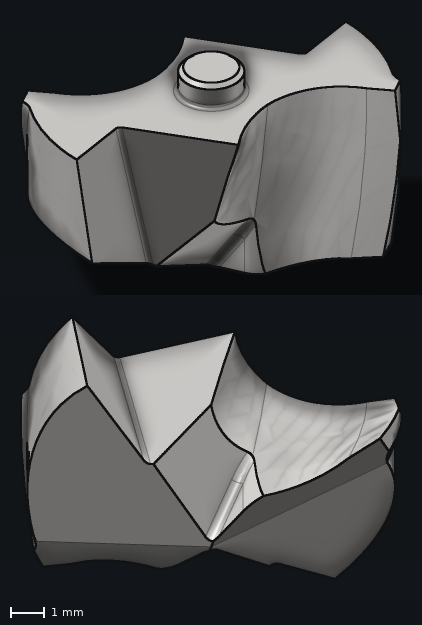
import math
import cadquery as cq


tip_depth = 6.3
margin_radius = 5.755
helix_rate = 5.77
blank_height = tip_depth + 0.2
blank_twist = helix_rate * blank_height
block_size = 40.0

pin_radius = 1.0
pin_height = 0.85
pin_chamfer = 0.15
pin_base_fillet = 0.14
pin_root_depth = 0.5

margin_end_angle = 20.9
relief_start_angle = 24.6
relief_groove_sag = 0.04
relief_end_angle = 100.0
relief_start_radius = 5.56
relief_end_radius = 5.495

lip_outer = (5.59, 1.46)
lip_bend = (4.50, 1.33)
flute_floor = (2.765, 0.76)
flute_seam = (1.85, -0.30)
core_waist = (1.51, -1.65)
core_corner = (1.75, -3.30)

core_half_width = 2.64
core_slope = 0.017
heel_corner_x = -2.2
heel_slope_y = 0.363
heel_slope_z = 0.189
heel_fillet = 0.165

lip_slope = 0.353
primary_relief_slope = 0.07
secondary_relief_slope = 0.396

gash_floor_offset = -0.07
gash_floor_slope_x = 1.07
gash_floor_slope_y = -1.0
gash_wall_start = (0.25, -0.22)
gash_wall_end = (1.25, -0.78)
gash_nose_end = (2.30, -1.00)
gash_fillet = 0.31
gash_far_x = -2.0
gash_far_y = -5.0

corner_flat_x = 5.36
corner_flat_angle = 15.2


def polar(radius, angle):
    """Point at a radius and an angle in degrees."""
    a = math.radians(angle)
    return (radius * math.cos(a), radius * math.sin(a))


def opposite(point):
    """Point turned half a revolution about the axis."""
    return (-point[0], -point[1])


def half_space(origin, normal):
    """Large block that fills the side of a plane its normal points to."""
    plane = cq.Plane(origin=origin, normal=normal)
    return cq.Workplane(plane).rect(block_size, block_size).extrude(block_size)


def below_plane(height, slope_x, slope_y):
    """Space below the plane z = height + slope_x * x + slope_y * y."""
    return half_space((0, 0, height), (slope_x, slope_y, -1))


def cut_both_sides(body, cutter):
    """Cut with a tool and with its copy turned half a revolution about Z."""
    return body.cut(cutter).cut(cutter.rotate((0, 0, 0), (0, 0, 1), 180))


def fluted_blank():
    """Twisted body carrying flutes, margins and relieved lands."""
    relief_mid_angle = (relief_start_angle + relief_end_angle) / 2
    relief_mid_radius = (relief_start_radius + relief_end_radius) / 2
    lip_angle = math.degrees(math.atan2(lip_outer[1], lip_outer[0]))
    margin_start = polar(margin_radius, lip_angle)
    margin_mid = polar(margin_radius, (lip_angle + margin_end_angle) / 2)
    margin_end = polar(margin_radius, margin_end_angle)
    relief_start = polar(relief_start_radius, relief_start_angle)
    groove_mid = polar(
        (margin_radius + relief_start_radius) / 2 - relief_groove_sag,
        (margin_end_angle + relief_start_angle) / 2,
    )
    relief_mid = polar(relief_mid_radius, relief_mid_angle)
    relief_end = polar(relief_end_radius, relief_end_angle)

    outline = cq.Workplane("XY", origin=(0, 0, -blank_height)).moveTo(*core_corner)
    for side in (tuple, opposite):
        outline = (
            outline.threePointArc(side(core_waist), side(flute_seam))
            .threePointArc(side(flute_floor), side(lip_bend))
            .lineTo(*side(margin_start))
            .threePointArc(side(margin_mid), side(margin_end))
            .threePointArc(side(groove_mid), side(relief_start))
            .threePointArc(side(relief_mid), side(relief_end))
        )
        if side is tuple:
            outline = outline.lineTo(*opposite(core_corner))
    blank = outline.close().twistExtrude(blank_height, blank_twist)
    return blank.rotate((0, 0, 0), (0, 0, 1), -blank_twist)


def heel_cutter():
    """Space beside the flat core side and in front of the wing face."""
    corner = (heel_corner_x, -core_half_width, 0)
    beside_core = half_space(corner, (0, -1, -core_slope))
    beside_wing = half_space(corner, (1, -heel_slope_y, heel_slope_z))
    notch = beside_core.intersect(beside_wing)
    return notch.edges(cq.selectors.NearestToPointSelector(corner)).fillet(heel_fillet)


def gash_cutter():
    """Space under the sloping gash floor, bounded by the thinned lip wall."""
    wall_run = gash_wall_end[0] - gash_wall_start[0]
    wall_slope = (gash_wall_end[1] - gash_wall_start[1]) / wall_run
    wall_far = (gash_far_x, gash_wall_start[1] + wall_slope * (gash_far_x - gash_wall_start[0]))
    column = (
        cq.Workplane("XY")
        .moveTo(*wall_far)
        .lineTo(*gash_wall_end)
        .tangentArcPoint(gash_nose_end, relative=False)
        .lineTo(gash_nose_end[0], gash_far_y)
        .lineTo(gash_far_x, gash_far_y)
        .close()
        .extrude(block_size / 2, both=True)
    )
    floor_height = gash_floor_offset - tip_depth
    gash = column.intersect(below_plane(floor_height, gash_floor_slope_x, gash_floor_slope_y))
    foot_x, foot_y = gash_wall_start
    foot_z = floor_height + gash_floor_slope_x * foot_x + gash_floor_slope_y * foot_y
    wall_foot = (foot_x, foot_y, foot_z)
    return gash.edges(cq.selectors.NearestToPointSelector(wall_foot)).fillet(gash_fillet)


def pin():
    """Chamfered locating pin with a concave fillet at its base."""
    return (
        cq.Workplane("XZ")
        .moveTo(0, -pin_root_depth)
        .lineTo(pin_radius + pin_base_fillet, -pin_root_depth)
        .lineTo(pin_radius + pin_base_fillet, 0)
        .radiusArc((pin_radius, pin_base_fillet), pin_base_fillet)
        .lineTo(pin_radius, pin_height - pin_chamfer)
        .lineTo(pin_radius - pin_chamfer, pin_height)
        .lineTo(0, pin_height)
        .close()
        .revolve(360, (0, 0, 0), (0, 1, 0))
    )


def corner_flat():
    """Space outside the sloping flat at one lip corner."""
    a = math.radians(corner_flat_angle)
    return half_space((corner_flat_x, 0, 0), (math.cos(a), 0, math.sin(a)))


body = fluted_blank()
body = cut_both_sides(body, heel_cutter())
for relief in (primary_relief_slope, secondary_relief_slope):
    body = cut_both_sides(body, below_plane(-tip_depth, -lip_slope, -relief))
body = cut_both_sides(body, gash_cutter())
body = cut_both_sides(body, corner_flat())
result = body.union(pin())